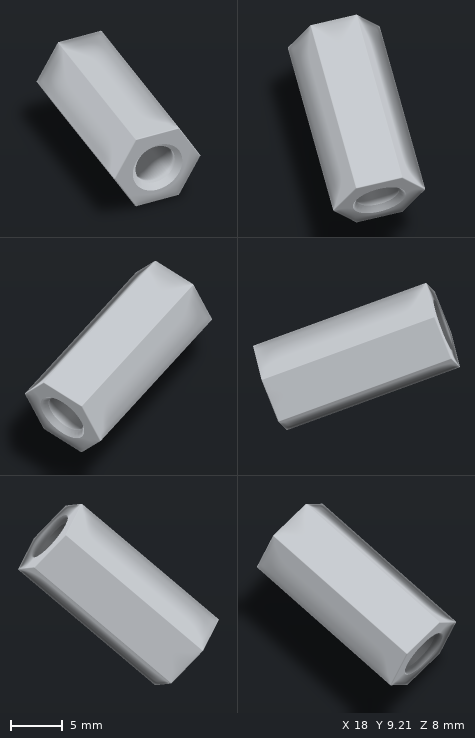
import cadquery as cq
import math

length = 18.0
across_flats = 8.0
edge_radius = 0.1
bore_diameter = 4.2
countersink_diameter = 5.3
countersink_angle = 90.0

HEX_SIDES = 6
across_corners = across_flats / math.cos(math.pi / HEX_SIDES)
countersink_depth = (
    (countersink_diameter - bore_diameter) / 2 / math.tan(math.radians(countersink_angle / 2))
)


def hex_body():
    """Hexagonal bar along X, corners towards +Y and -Y, every outer edge rounded."""
    bar = cq.Workplane("YZ").polygon(HEX_SIDES, across_corners).extrude(length / 2, both=True)
    return bar.edges().fillet(edge_radius)


def countersunk_bore():
    """Through bore along X, widened by a cone at both ends, as one revolved cutter."""
    half_length = length / 2
    bore_radius = bore_diameter / 2
    mouth_radius = countersink_diameter / 2
    cone_end = half_length - countersink_depth
    return (
        cq.Workplane("XY")
        .moveTo(-half_length, 0)
        .lineTo(-half_length, mouth_radius)
        .lineTo(-cone_end, bore_radius)
        .lineTo(cone_end, bore_radius)
        .lineTo(half_length, mouth_radius)
        .lineTo(half_length, 0)
        .close()
        .revolve(360, (0, 0, 0), (1, 0, 0))
    )


result = hex_body().cut(countersunk_bore())